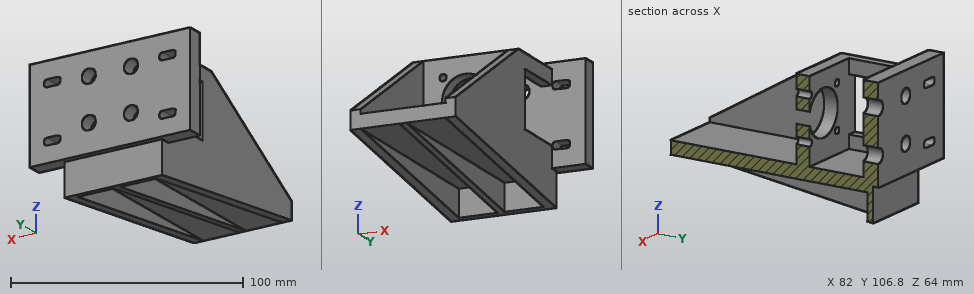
import cadquery as cq

total_length = 106.8
total_height = 64.0

plate_width = 82.0
plate_thickness = 7.8
plate_height = 47.5
plate_bottom = total_height - plate_height

body_width = 50.0
side_wall = 4.9
inner_width = body_width - 2 * side_wall
body_rear = -2.8
body_top = total_height - 3.0
nose_top = 22.2
nose_bottom = 13.5
floor_top = 20.2

motor_wall_front = -42.2
motor_wall_thickness = 6.9
motor_wall_rear = motor_wall_front + motor_wall_thickness
window_top = 53.8
window_bottom = 26.7

rib_width = 3.3
rear_wall = 3.0
pocket_width = (inner_width - rib_width) / 2

motor_axis_height = 41.6
motor_bore = 22.5
bolt_spacing = 21.6
motor_screw_hole = 3.2
plate_bolt_hole = 7.0
slot_width = 3.6
slot_gap = 0.2
slot_inner_end = body_width / 2 + slot_gap
slot_length = 8.4
slot_heights = (26.6, 53.6)


def block(width, y_front, y_rear, z_bottom, z_top, x_center=0):
    """Rectangular block given by its width and its limits along Y and Z."""
    return (
        cq.Workplane("XY", origin=(x_center, (y_front + y_rear) / 2, z_bottom))
        .rect(width, y_rear - y_front)
        .extrude(z_top - z_bottom)
    )


def drill_bolts(diameter, y_front, y_rear):
    """Four cylinders around the motor axis, running along Y."""
    return (
        cq.Workplane("XZ", origin=(0, y_rear, motor_axis_height))
        .rect(bolt_spacing, bolt_spacing, forConstruction=True)
        .vertices()
        .circle(diameter / 2)
        .extrude(y_rear - y_front)
    )


def make_body():
    """Side profile with a sloped top and underside, extruded across the width."""
    profile = [
        (body_rear, 0),
        (-total_length, nose_bottom),
        (-total_length, nose_top),
        (motor_wall_front, body_top),
        (body_rear, body_top),
    ]
    body = cq.Workplane("YZ").polyline(profile).close().extrude(body_width / 2, both=True)

    front_tray = block(inner_width, -total_length, motor_wall_front, floor_top, total_height)
    chamber = block(inner_width, motor_wall_rear, -plate_thickness, floor_top, total_height)
    window = block(body_width, motor_wall_rear, -plate_thickness, window_bottom, window_top)
    body = body.cut(front_tray).cut(chamber).cut(window)

    pocket_offset = (rib_width + pocket_width) / 2
    for x_center in (-pocket_offset, pocket_offset):
        body = body.cut(
            block(pocket_width, -total_length, body_rear - rear_wall, 0, nose_bottom, x_center)
        )
    return body


def make_motor_holes():
    """Central bore and screw holes through the motor wall."""
    bore = (
        cq.Workplane("XZ", origin=(0, motor_wall_rear, motor_axis_height))
        .circle(motor_bore / 2)
        .extrude(motor_wall_thickness)
    )
    return bore.union(drill_bolts(motor_screw_hole, motor_wall_front, motor_wall_rear))


def make_slots():
    """Horizontal adjustment slots through the plate, beside the body."""
    slot_x = slot_inner_end + slot_length / 2
    centers = [(x, z) for x in (-slot_x, slot_x) for z in slot_heights]
    return cq.Workplane("XZ").pushPoints(centers).slot2D(slot_length, slot_width).extrude(plate_thickness)


plate = block(plate_width, -plate_thickness, 0, plate_bottom, total_height)
result = (
    make_body()
    .union(plate)
    .cut(make_motor_holes())
    .cut(drill_bolts(plate_bolt_hole, -plate_thickness, 0))
    .cut(make_slots())
)